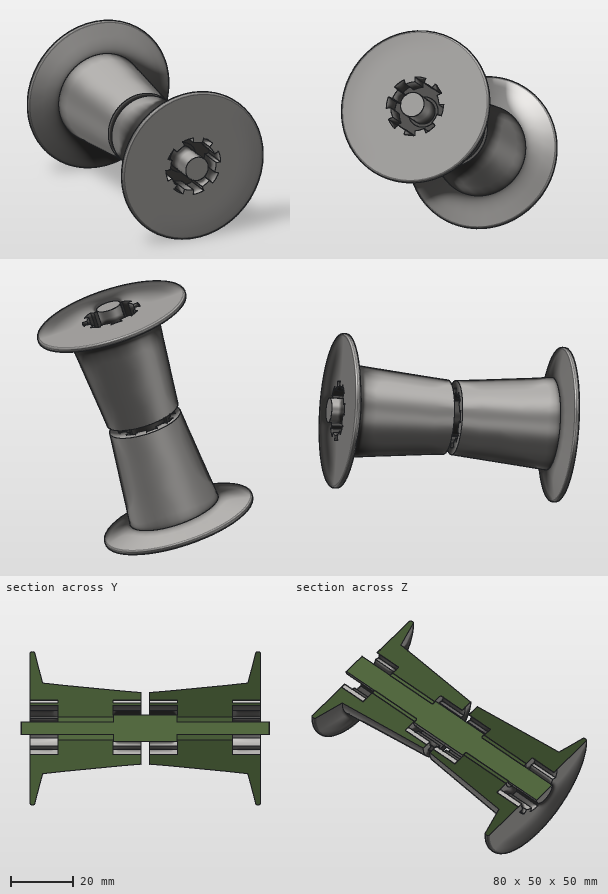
import cadquery as cq
import math

shaft_length = 80.0
shaft_diameter = 8.0
collar_diameter = 11.0

bushing_diameter = 10.0

roller_gap = 2.7
flange_face_x = 37.2
flange_diameter = 50.0
rim_thickness = 1.5
rim_fillet = 0.6
flange_slope = 75.0
barrel_large_diameter = 30.5
barrel_small_diameter = 24.0
barrel_offset_y = -0.5

recess_depth = 9.0
recess_inner_diameter = 16.2
recess_outer_diameter = 19.4
slot_count = 8

roller_inner_x = roller_gap / 2
web_inner_x = roller_inner_x + recess_depth
web_outer_x = flange_face_x - recess_depth
rim_x = flange_face_x - rim_thickness
slot_pitch = 360.0 / slot_count
slot_angle = slot_pitch / 2


def cylinder_x(diameter, x_start, x_end):
    """Solid cylinder about the X axis between two X positions."""
    return cq.Workplane("YZ", origin=(x_start, 0, 0)).circle(diameter / 2).extrude(x_end - x_start)


def make_shaft():
    """Round shaft with a thicker collar that fills the space between the two roller webs."""
    rod = cylinder_x(shaft_diameter, -shaft_length / 2, shaft_length / 2)
    collar = cylinder_x(collar_diameter, -web_inner_x, web_inner_x)
    return rod.union(collar)


def slot_sector(start_angle):
    """Pie-shaped sector in the YZ plane, as deep as a recess, that cuts one spline slot."""
    radius = recess_outer_diameter / 2

    def rim_point(angle):
        return (radius * math.cos(math.radians(angle)), radius * math.sin(math.radians(angle)))

    return (
        cq.Workplane("YZ")
        .lineTo(*rim_point(start_angle))
        .threePointArc(rim_point(start_angle + slot_angle / 2), rim_point(start_angle + slot_angle))
        .close()
        .extrude(recess_depth)
    )


def make_recess():
    """Round recess with evenly spaced slots around it, starting at X = 0 and running toward +X."""
    recess = cylinder_x(recess_inner_diameter, 0, recess_depth)
    for index in range(slot_count):
        recess = recess.union(slot_sector(index * slot_pitch))
    return recess


def make_flange():
    """Flange with a rounded rim; its conical back runs down inside the barrel."""
    rim_radius = flange_diameter / 2
    cone_end_radius = barrel_small_diameter / 2
    cone_length = (rim_radius - cone_end_radius) / math.tan(math.radians(flange_slope))
    disc = (
        cq.Workplane("XY")
        .moveTo(rim_x - cone_length, 0)
        .lineTo(rim_x - cone_length, cone_end_radius)
        .lineTo(rim_x, rim_radius)
        .lineTo(flange_face_x, rim_radius)
        .lineTo(flange_face_x, 0)
        .close()
        .revolve(360, (0, 0, 0), (1, 0, 0))
    )
    return disc.edges(cq.selectors.RadiusNthSelector(-1)).fillet(rim_fillet)


def make_barrel():
    """Tapered barrel from the roller's inner end to the flange rim, shifted off the shaft axis."""
    barrel = (
        cq.Workplane("XY")
        .moveTo(roller_inner_x, 0)
        .lineTo(roller_inner_x, barrel_small_diameter / 2)
        .lineTo(rim_x, barrel_large_diameter / 2)
        .lineTo(rim_x, 0)
        .close()
        .revolve(360, (0, 0, 0), (1, 0, 0))
    )
    return barrel.translate((0, barrel_offset_y, 0))


def make_roller():
    """Roller on the +X side: flange and barrel, a splined recess in each end and a bushing hole."""
    body = make_flange().union(make_barrel())
    recess = make_recess()
    for recess_start_x in (roller_inner_x, web_outer_x):
        body = body.cut(recess.translate((recess_start_x, 0, 0)))
    return body.cut(cylinder_x(bushing_diameter, web_inner_x, web_outer_x))


def make_bushing():
    """Plain bushing on the +X side, as long as the roller web it sits in."""
    outside = cylinder_x(bushing_diameter, web_inner_x, web_outer_x)
    return outside.cut(cylinder_x(shaft_diameter, web_inner_x, web_outer_x))


bodies = [make_shaft().solids().val()]
for right_body in (make_roller(), make_bushing()):
    left_body = right_body.mirror("YZ")
    bodies.append(right_body.solids().val())
    bodies.append(left_body.solids().val())

result = cq.Compound.makeCompound(bodies)